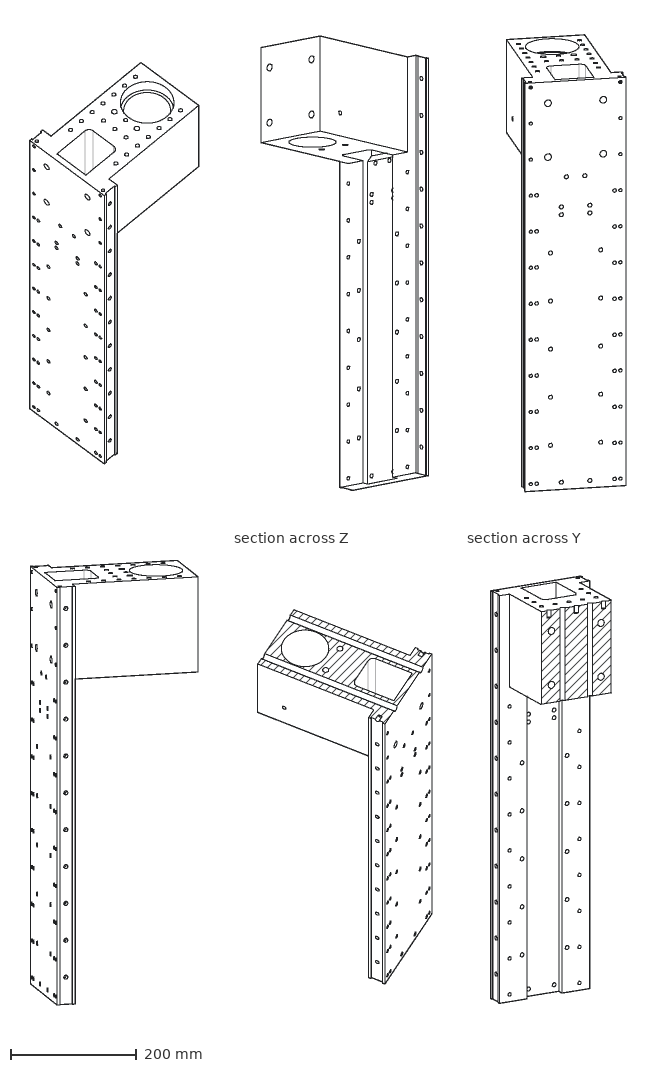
import cadquery as cq

plate_width = 164.0
plate_thickness = 30.0
plate_height = 680.0

total_depth = 237.0
head_width = 127.0
head_height = 155.0
head_bottom = plate_height - head_height

side_groove_width = 20.5
side_groove_depth = 2.0

channel_width = 63.0
channel_depth = 11.0
deep_channel_depth = 20.0
ramp_height = 11.0

opening_back = 83.5
opening_corner_radius = 9.0

bore_y = 185.0
bore_diameter = 75.0
bore_step_diameter = 85.0
bore_step_depth = 21.0

edge_hole_diameter = 5.0
side_hole_diameter = 6.4
rail_hole_diameter = 5.6
plate_hole_diameter = 6.4
mount_hole_diameter = 11.0
head_hole_diameter = 6.4
dowel_hole_diameter = 9.0
blind_depth = 12.0

edge_column = 73.0
rail_column = 63.0
mount_column = 45.0
bracket_column = 41.0
clamp_column = 23.0
sensor_column = 15.0

edge_row_count = 12
rail_row_count = 9
lowest_edge_row = 12.0
highest_edge_row = 672.5
edge_row_pitch = (highest_edge_row - lowest_edge_row) / (edge_row_count - 1)
mount_rows = (555.0, 644.5)
bracket_row_count = 5
lowest_bracket_row = 75.0
highest_bracket_row = 395.0
bracket_row_pitch = (highest_bracket_row - lowest_bracket_row) / (bracket_row_count - 1)
clamp_rows = (lowest_edge_row, 457.5, 470.5)
sensor_row = 520.0

side_hole_count = 11
side_hole_pitch = edge_row_pitch
highest_side_hole = mount_rows[-1]
top_hole_y = 7.0

head_row_count = 7
first_head_row = 60.5
last_head_row = 210.0
head_row_pitch = (last_head_row - first_head_row) / (head_row_count - 1)
head_outer_column = 49.5
head_inner_column = head_outer_column / 2
middle_row = first_head_row + 2 * head_row_pitch
dowel_row = first_head_row + 3 * head_row_pitch

cross_hole_y = 190.0
cross_hole_z = 562.5


def box(x_range, y_range, z_range):
    """Box between two limits on each axis."""
    size = [high - low for low, high in (x_range, y_range, z_range)]
    corner = (x_range[0], y_range[0], z_range[0])
    return cq.Workplane("XY").box(*size, centered=False).translate(corner)


def holes(start_points, direction, diameter, depth):
    """Equal drilled holes that start at the given points."""
    drilled = [
        cq.Solid.makeCylinder(diameter / 2, depth, cq.Vector(*point), cq.Vector(*direction))
        for point in start_points
    ]
    return cq.Workplane("XY").newObject([cq.Compound.makeCompound(drilled)])


def mirrored(x):
    return (-x, x)


def rows(first, pitch, count):
    return [first + i * pitch for i in range(count)]


def front_points(column, heights):
    """Points on the front face in a mirrored pair of columns."""
    return [(x, 0, z) for x in mirrored(column) for z in heights]


def body():
    plate = box(mirrored(plate_width / 2), (0, plate_thickness), (0, plate_height))
    head = box(
        mirrored(head_width / 2), (plate_thickness, total_depth), (head_bottom, plate_height)
    )
    return plate.union(head)


def side_grooves():
    middle = plate_thickness / 2
    core_half_width = plate_width / 2 - side_groove_depth
    y_range = (middle - side_groove_width / 2, middle + side_groove_width / 2)
    left = box((-plate_width / 2, -core_half_width), y_range, (0, plate_height))
    return left.union(left.mirror("YZ"))


def channel_and_opening():
    floor_y = plate_thickness - channel_depth
    deep_floor_y = plate_thickness - deep_channel_depth
    channel = (
        cq.Workplane("YZ")
        .moveTo(plate_thickness, 0)
        .lineTo(floor_y, 0)
        .lineTo(floor_y, head_bottom)
        .lineTo(deep_floor_y, head_bottom + ramp_height)
        .lineTo(deep_floor_y, plate_height)
        .lineTo(plate_thickness, plate_height)
        .close()
        .extrude(channel_width / 2, both=True)
    )
    opening = box(
        mirrored(channel_width / 2), (plate_thickness, opening_back), (head_bottom, plate_height)
    )
    opening = opening.edges("|Z and >Y").fillet(opening_corner_radius)
    return channel.union(opening)


def stepped_bore():
    bottom = (0, bore_y, head_bottom)
    step = (0, bore_y, plate_height - bore_step_depth)
    bore = holes([bottom], (0, 0, 1), bore_diameter, head_height)
    return bore.union(holes([step], (0, 0, 1), bore_step_diameter, bore_step_depth))


def front_holes():
    inward = (0, 1, 0)
    edge_rows = rows(lowest_edge_row, edge_row_pitch, edge_row_count)
    rail_rows = edge_rows[:rail_row_count]
    bracket_rows = rows(lowest_bracket_row, bracket_row_pitch, bracket_row_count)
    plate_points = (
        front_points(bracket_column, bracket_rows)
        + front_points(clamp_column, clamp_rows)
        + front_points(sensor_column, [sensor_row])
    )
    return [
        holes(front_points(edge_column, edge_rows), inward, edge_hole_diameter, blind_depth),
        holes(front_points(rail_column, rail_rows), inward, rail_hole_diameter, plate_thickness),
        holes(plate_points, inward, plate_hole_diameter, plate_thickness),
        holes(front_points(mount_column, mount_rows), inward, mount_hole_diameter, total_depth),
    ]


def plate_side_holes():
    heights = rows(highest_side_hole, -side_hole_pitch, side_hole_count)
    left_points = [(-plate_width / 2, plate_thickness / 2, z) for z in heights]
    left = holes(left_points, (1, 0, 0), side_hole_diameter, blind_depth)
    return [left, left.mirror("YZ")]


def plate_top_holes():
    points = [(x, top_hole_y, plate_height) for x in mirrored(edge_column)]
    return holes(points, (0, 0, -1), edge_hole_diameter, blind_depth)


def head_holes():
    down = (0, 0, -1)
    outer = [
        (x, y, plate_height)
        for x in mirrored(head_outer_column)
        for y in rows(first_head_row, head_row_pitch, head_row_count)
    ]
    inner = [(x, middle_row, plate_height) for x in (-head_inner_column, 0, head_inner_column)]
    centre = [(0, dowel_row, plate_height)]
    dowels = [(x, dowel_row, plate_height) for x in mirrored(head_inner_column)]
    return [
        holes(outer + inner + centre, down, head_hole_diameter, blind_depth),
        holes(dowels, down, dowel_hole_diameter, head_height),
    ]


def cross_hole():
    start = (-head_width / 2, cross_hole_y, cross_hole_z)
    return holes([start], (1, 0, 0), head_hole_diameter, head_width / 2)


result = body().cut(side_grooves()).cut(channel_and_opening()).cut(stepped_bore())
drillings = front_holes() + plate_side_holes() + [plate_top_holes()] + head_holes() + [cross_hole()]
for drilling in drillings:
    result = result.cut(drilling)